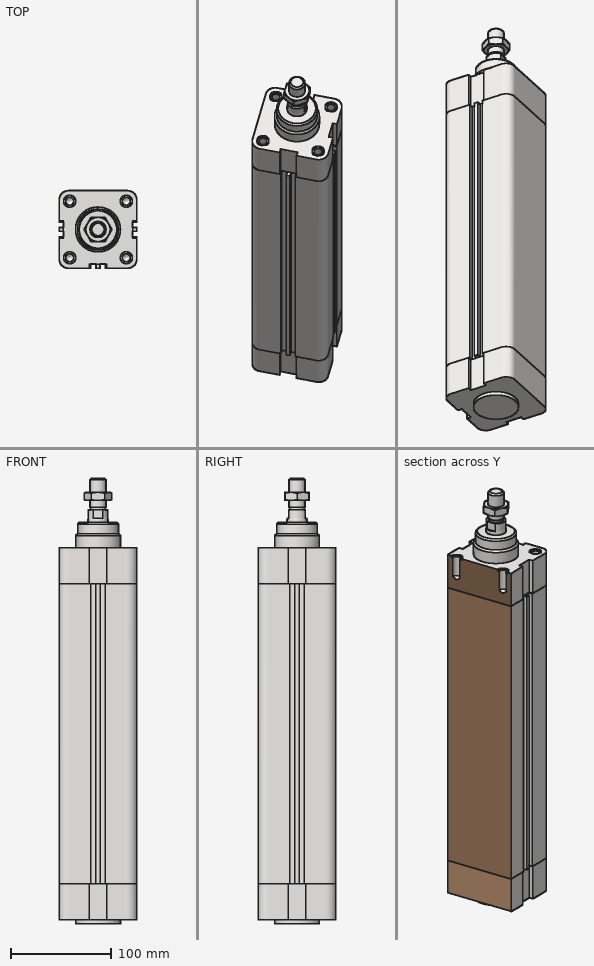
import cadquery as cq
import math

WIDTH = 77.5
CORNER_RADIUS = 9.8
TOTAL_HEIGHT = 444.0
CAP_HEIGHT = 36.0
BARREL_LENGTH = 299.0

REAR_BOSS_HEIGHT = 4.0
COLLAR_DIAMETER = 45.0
COLLAR_HEIGHT = 12.0
CROWN_DIAMETER = 41.0
CROWN_TOP_DIAMETER = 37.5
CROWN_CHAMFER_HEIGHT = 1.8
NOSE_HEIGHT = 25.5

SLOT_DEPTH = 4.5
CAP_SLOT_WIDTH = 17.5
BARREL_SLOT_WIDTH = 14.5
BARREL_RIB_WIDTH = 4.0
SLOT_ANGLES = (-90, 0, 180)

SCREW_SPACING = 56.5
SCREW_HOLE_DIAMETER = 8.0
SCREW_HOLE_DEPTH = 22.0
DRILL_POINT_ANGLE = 118
COUNTERBORE_DIAMETER = 12.0
COUNTERBORE_DEPTH = 1.5

ROD_DIAMETER = 20.0
ROD_BASE_HEIGHT = 2.5
ROD_STEP_HEIGHT = 1.5
SHANK_DIAMETER = 19.5
SHANK_HEIGHT = 8.5
SHANK_ACROSS_FLATS = 17.0
UNDERCUT_DIAMETER = 14.5
UNDERCUT_HEIGHT = 2.5
THREAD_DIAMETER = 16.0
THREAD_CHAMFER = 1.8

NUT_ACROSS_FLATS = 24.0
NUT_HEIGHT = 8.0
NUT_TO_ROD_END = 14.0
NUT_CHAMFER = 1.8
NUT_CHAMFER_HEIGHT = 1.0

rear_cap_bottom = REAR_BOSS_HEIGHT
barrel_bottom = rear_cap_bottom + CAP_HEIGHT
front_cap_bottom = barrel_bottom + BARREL_LENGTH
front_cap_top = front_cap_bottom + CAP_HEIGHT
rod_bottom = front_cap_top + NOSE_HEIGHT
shank_bottom = rod_bottom + ROD_BASE_HEIGHT + ROD_STEP_HEIGHT
undercut_bottom = shank_bottom + SHANK_HEIGHT
thread_bottom = undercut_bottom + UNDERCUT_HEIGHT
nut_bottom = TOTAL_HEIGHT - NUT_TO_ROD_END - NUT_HEIGHT


def disc(diameter, height, bottom):
    """Cylinder on the Z axis standing at the given height."""
    return cq.Workplane("XY").workplane(offset=bottom).circle(diameter / 2).extrude(height)


def rounded_block(height, bottom):
    """Square block with rounded vertical corners."""
    block = cq.Workplane("XY").workplane(offset=bottom).rect(WIDTH, WIDTH).extrude(height)
    return block.edges("|Z").fillet(CORNER_RADIUS)


def cut_side_grooves(block, groove_width, offsets, height, bottom):
    """Cut vertical grooves, at the given offsets from mid-side, into three sides."""
    for angle in SLOT_ANGLES:
        for offset in offsets:
            groove = (
                cq.Workplane("XY")
                .workplane(offset=bottom)
                .center(WIDTH / 2 - SLOT_DEPTH / 2, offset)
                .rect(SLOT_DEPTH, groove_width)
                .extrude(height)
            )
            block = block.cut(groove.rotate((0, 0, 0), (0, 0, 1), angle))
    return block


def screw_hole_cutter():
    """Counterbored blind hole with a drill point, its mouth at Z = 0."""
    hole_radius = SCREW_HOLE_DIAMETER / 2
    bore_radius = COUNTERBORE_DIAMETER / 2
    point_height = hole_radius / math.tan(math.radians(DRILL_POINT_ANGLE / 2))
    return (
        cq.Workplane("XZ")
        .polyline(
            [
                (0, 0),
                (bore_radius, 0),
                (bore_radius, -COUNTERBORE_DEPTH),
                (hole_radius, -COUNTERBORE_DEPTH),
                (hole_radius, -SCREW_HOLE_DEPTH),
                (0, -SCREW_HOLE_DEPTH - point_height),
            ]
        )
        .close()
        .revolve(360, (0, 0, 0), (0, 1, 0))
    )


def make_cap(bottom):
    """Slotted end block shared by both caps."""
    return cut_side_grooves(rounded_block(CAP_HEIGHT, bottom), CAP_SLOT_WIDTH, [0], CAP_HEIGHT, bottom)


def make_rear_cap():
    return make_cap(rear_cap_bottom).union(disc(COLLAR_DIAMETER, REAR_BOSS_HEIGHT, 0))


def make_nose():
    """Stepped round nose: collar, 45 degree shoulder, crown and chamfered end."""
    collar_radius = COLLAR_DIAMETER / 2
    crown_radius = CROWN_DIAMETER / 2
    shoulder_top = COLLAR_HEIGHT + collar_radius - crown_radius
    return (
        cq.Workplane("XZ", origin=(0, 0, front_cap_top))
        .polyline(
            [
                (0, 0),
                (collar_radius, 0),
                (collar_radius, COLLAR_HEIGHT),
                (crown_radius, shoulder_top),
                (crown_radius, NOSE_HEIGHT - CROWN_CHAMFER_HEIGHT),
                (CROWN_TOP_DIAMETER / 2, NOSE_HEIGHT),
                (0, NOSE_HEIGHT),
            ]
        )
        .close()
        .revolve(360, (0, 0, 0), (0, 1, 0))
    )


def make_front_cap():
    cap = make_cap(front_cap_bottom)
    cutter = screw_hole_cutter()
    for x in (-SCREW_SPACING / 2, SCREW_SPACING / 2):
        for y in (-SCREW_SPACING / 2, SCREW_SPACING / 2):
            cap = cap.cut(cutter.translate((x, y, front_cap_top)))

    return cap.union(make_nose())


def make_barrel():
    """Profile with two grooves per side, leaving a rib between them."""
    groove_width = (BARREL_SLOT_WIDTH - BARREL_RIB_WIDTH) / 2
    groove_offset = (BARREL_RIB_WIDTH + groove_width) / 2
    block = rounded_block(BARREL_LENGTH, barrel_bottom)
    offsets = [-groove_offset, groove_offset]
    return cut_side_grooves(block, groove_width, offsets, BARREL_LENGTH, barrel_bottom)


def make_rod():
    """Rod end: tapered base, shank with two wrench flats, undercut and chamfered thread."""
    base = disc(ROD_DIAMETER, ROD_BASE_HEIGHT + ROD_STEP_HEIGHT, rod_bottom)
    base = base.faces(">Z").chamfer(ROD_STEP_HEIGHT, (ROD_DIAMETER - SHANK_DIAMETER) / 2)
    flats = (
        cq.Workplane("XY")
        .workplane(offset=shank_bottom)
        .rect(SHANK_DIAMETER, SHANK_ACROSS_FLATS)
        .extrude(SHANK_HEIGHT)
    )
    shank = disc(SHANK_DIAMETER, SHANK_HEIGHT, shank_bottom).intersect(flats)
    undercut = disc(UNDERCUT_DIAMETER, UNDERCUT_HEIGHT, undercut_bottom)
    thread = disc(THREAD_DIAMETER, TOTAL_HEIGHT - thread_bottom, thread_bottom)
    thread = thread.faces(">Z").chamfer(THREAD_CHAMFER)
    return base.union(shank).union(undercut).union(thread)


def make_nut():
    """Hexagon nut with corners along X, the corners chamfered at both ends."""
    across_corners = NUT_ACROSS_FLATS / math.cos(math.radians(30))
    envelope = disc(across_corners, NUT_HEIGHT, nut_bottom)
    envelope = envelope.faces(">Z").chamfer(NUT_CHAMFER_HEIGHT, NUT_CHAMFER)
    envelope = envelope.faces("<Z").chamfer(NUT_CHAMFER_HEIGHT, NUT_CHAMFER)
    hexagon = (
        cq.Workplane("XY").workplane(offset=nut_bottom).polygon(6, across_corners).extrude(NUT_HEIGHT)
    )
    return hexagon.intersect(envelope).cut(disc(THREAD_DIAMETER, NUT_HEIGHT, nut_bottom))


rear_cap = make_rear_cap()
barrel = make_barrel()
front_cap = make_front_cap()
rod = make_rod()
nut = make_nut()

result = cq.Compound.makeCompound(
    [rear_cap.val(), barrel.val(), front_cap.val(), rod.val(), nut.val()]
)